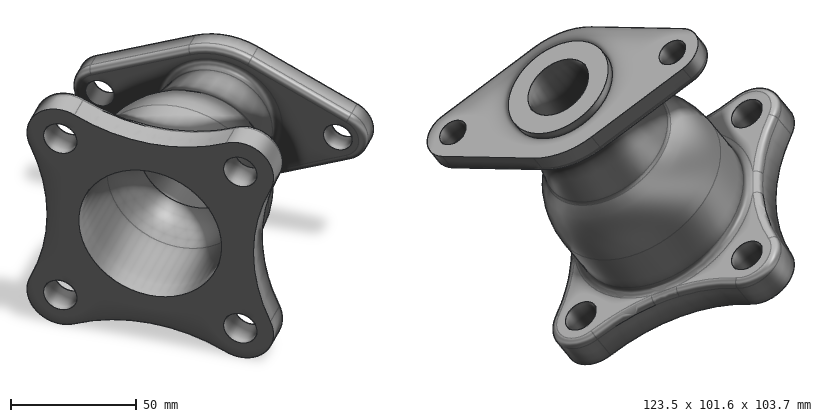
import cadquery as cq
import math

square_flange_thickness = 14.0
sphere_centre_y = 36.0
oval_flange_front_y = 88.0
oval_flange_back_y = 98.0
spigot_end_y = 101.58

square_bolt_circle = 107.0
square_bolt_offset = square_bolt_circle / 2 / math.sqrt(2)
square_bolt_diameter = 14.0
square_corner_radius = 14.0
square_side_radius = 75.0

oval_bolt_offset = 50.0
oval_bolt_diameter = 12.0
oval_ear_radius = 11.75
oval_centre_radius = 32.25

body_radius = 38.0
neck_end_radius = 23.0
spigot_radius = 22.75
bore_radius = 30.0
outlet_radius = 13.8
taper_slope = 0.2

flange_edge_fillet = 3.0
root_fillet = 3.0
shoulder_fillet = 3.0

pick_margin = 0.1


def workplane_at(y):
    """Sketch plane across the axis, with sketch x and y along X and Z; its normal is -Y."""
    return cq.Workplane("XZ", origin=(0, y, 0))


def edges_across_axis(y, reach):
    """Selects edges in the plane at y that stay within reach of the axis in X and Z."""
    low = (-reach, y - pick_margin, -reach)
    high = (reach, y + pick_margin, reach)
    return cq.selectors.BoxSelector(low, high, boundingbox=True)


def polar(centre, radius, angle):
    return centre[0] + radius * math.cos(angle), centre[1] + radius * math.sin(angle)


def quarter_turned(point, turns):
    x, z = point
    for _ in range(turns):
        x, z = z, -x
    return x, z


def square_flange():
    """Plate with four round corners joined by tangent concave arcs."""
    centre_distance = square_side_radius + square_corner_radius
    side_centre = square_bolt_offset + math.sqrt(centre_distance**2 - square_bolt_offset**2)
    side_middle = (0, side_centre - square_side_radius)
    tangent_share = square_side_radius / centre_distance
    tangent_x = square_bolt_offset * tangent_share
    tangent_z = side_centre - (side_centre - square_bolt_offset) * tangent_share
    corner_tip = polar((square_bolt_offset, square_bolt_offset), square_corner_radius, math.pi / 4)

    outline = workplane_at(0).moveTo(-tangent_x, tangent_z)
    for turn in range(4):
        side_end = quarter_turned((tangent_x, tangent_z), turn)
        corner_end = quarter_turned((tangent_z, tangent_x), turn)
        outline = outline.threePointArc(quarter_turned(side_middle, turn), side_end)
        outline = outline.threePointArc(quarter_turned(corner_tip, turn), corner_end)
    return outline.close().extrude(-square_flange_thickness)


def oval_flange():
    """Plate with a round middle and two smaller round ears joined by tangent lines."""
    tangent_angle = math.acos((oval_centre_radius - oval_ear_radius) / oval_bolt_offset)
    middle_x, middle_z = polar((0, 0), oval_centre_radius, tangent_angle)
    ear_x, ear_z = polar((oval_bolt_offset, 0), oval_ear_radius, tangent_angle)
    ear_tip = oval_bolt_offset + oval_ear_radius
    plate = (
        workplane_at(oval_flange_front_y)
        .moveTo(-middle_x, middle_z)
        .threePointArc((0, oval_centre_radius), (middle_x, middle_z))
        .lineTo(ear_x, ear_z)
        .threePointArc((ear_tip, 0), (ear_x, -ear_z))
        .lineTo(middle_x, -middle_z)
        .threePointArc((0, -oval_centre_radius), (-middle_x, -middle_z))
        .lineTo(-ear_x, -ear_z)
        .threePointArc((-ear_tip, 0), (-ear_x, ear_z))
        .close()
        .extrude(oval_flange_front_y - oval_flange_back_y)
    )
    return plate.faces("<Y").edges().fillet(flange_edge_fillet)


def shoulder_joint(sphere_radius, end_radius, end_y):
    """Radius and y where the taper ending at (end_radius, end_y) meets the sphere."""
    centre_radius = end_radius + taper_slope * (end_y - sphere_centre_y)
    a = 1 + taper_slope**2
    half_b = -taper_slope * centre_radius
    c = centre_radius**2 - sphere_radius**2
    distance = (-half_b + math.sqrt(half_b**2 - a * c)) / a
    return centre_radius - taper_slope * distance, sphere_centre_y + distance


def tapered_pipe(radius, end_radius, end_y):
    """Cylinder, spherical shoulder and taper, as one solid of revolution about Y."""
    joint = shoulder_joint(radius, end_radius, end_y)
    joint_angle = math.atan2(joint[1] - sphere_centre_y, joint[0])
    return (
        cq.Workplane("XY")
        .lineTo(radius, 0)
        .lineTo(radius, sphere_centre_y)
        .threePointArc(polar((0, sphere_centre_y), radius, joint_angle / 2), joint)
        .lineTo(end_radius, end_y)
        .lineTo(0, end_y)
        .close()
        .revolve(360, (0, 0, 0), (0, 1, 0))
    )


def body():
    """Outside of the pipe, with the corner between shoulder and neck rounded."""
    pipe = tapered_pipe(body_radius, neck_end_radius, oval_flange_front_y)
    joint_y = shoulder_joint(body_radius, neck_end_radius, oval_flange_front_y)[1]
    return pipe.edges(edges_across_axis(joint_y, body_radius)).fillet(shoulder_fillet)


def body_on_square_flange():
    """The rim rounding follows the root fillet, which it cuts where the sides are deepest."""
    joined = square_flange().union(body())
    root = edges_across_axis(square_flange_thickness, body_radius + pick_margin)
    joined = joined.edges(root).fillet(root_fillet)
    face_edges = edges_across_axis(square_flange_thickness, square_bolt_circle)
    fillet_foot = edges_across_axis(square_flange_thickness, body_radius + root_fillet + pick_margin)
    return joined.edges(face_edges - fillet_foot).fillet(flange_edge_fillet)


def spigot():
    length = spigot_end_y - oval_flange_back_y
    return workplane_at(oval_flange_back_y).circle(spigot_radius).extrude(-length)


def bolt_holes(points, diameter):
    return workplane_at(0).pushPoints(points).circle(diameter / 2).extrude(-spigot_end_y)


square_bolts = [(x * square_bolt_offset, z * square_bolt_offset) for x in (-1, 1) for z in (-1, 1)]
oval_bolts = [(-oval_bolt_offset, 0), (oval_bolt_offset, 0)]

casting = body_on_square_flange().union(oval_flange())
neck_root = edges_across_axis(oval_flange_front_y, neck_end_radius + pick_margin)
casting = casting.edges(neck_root).fillet(root_fillet)

result = (
    casting.union(spigot())
    .cut(tapered_pipe(bore_radius, outlet_radius, spigot_end_y))
    .cut(bolt_holes(square_bolts, square_bolt_diameter))
    .cut(bolt_holes(oval_bolts, oval_bolt_diameter))
)